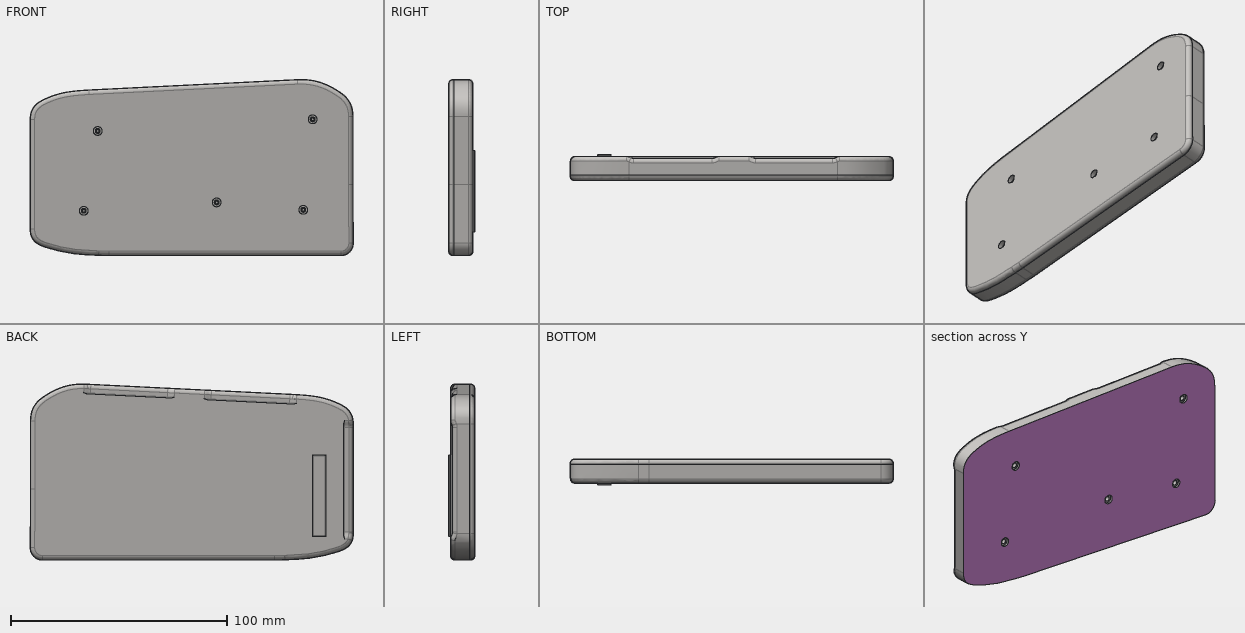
import cadquery as cq
import math

cover_thickness = 2.5
case_thickness = 11.2
overall_depth = 12.1
housing_thickness = case_thickness - cover_thickness
edge_fillet = 2.1

width = 149.4
height = 81.4
left_wall_bottom_z = 12.3
left_wall_top_z = 63.0
top_left = (27.2, 76.6)
top_right = (123.5, height)
right_wall_x = 149.3
right_wall_top_z = 64.4
right_wall_bend_z = 32.9
corner_radius = 5.8
bottom_bend_x = 36.5
bottom_left = (31.7, 0.1)

upper_left_middle = (6.9, 72.5)
upper_right_middle = (141.8, 76.5)
lower_left_middle = (8.2, 3.6)

recess_depth = 0.9
recess_ramp = 3.1
recess_reach = 4.5
recess_floor_fillet = 0.5
recess_margin = 7.5
top_recess_spans = [(26.1, 68.7), (82.6, 124.5)]
left_recess_span = (9.9, 64.5)

pad_x_range = (12.7, 19.0)
pad_z_range = (10.9, 48.7)
pad_fillet = 0.5
pad_height = overall_depth - case_thickness

screw_positions = [(31.2, 57.7), (130.6, 63.0), (24.8, 20.8), (86.2, 24.7), (126.2, 21.2)]
screw_head_diameter = 4.0
screw_shank_diameter = 2.2
screw_pilot_diameter = 1.3
screw_head_depth = 3.6
screw_shank_depth = 6.0
screw_pilot_depth = 8.2

top_run = top_right[0] - top_left[0]
top_rise = top_right[1] - top_left[1]
top_slope = top_rise / top_run
bottom_slope = bottom_left[1] / (bottom_bend_x - bottom_left[0])
top_angle = math.degrees(math.atan(top_slope))


def outline_slab(front_y, thickness):
    """Plate with the case outline, from front_y toward +Y."""
    arc_offset = corner_radius * (1 - math.sqrt(0.5))
    corner_middle = (width - arc_offset, arc_offset)
    return (
        cq.Workplane("XZ", origin=(0, front_y, 0))
        .moveTo(0, left_wall_bottom_z)
        .lineTo(0, left_wall_top_z)
        .spline([upper_left_middle, top_left], tangents=[(0, 1), (1, top_slope)], includeCurrent=True)
        .lineTo(*top_right)
        .spline(
            [upper_right_middle, (right_wall_x, right_wall_top_z)],
            tangents=[(1, top_slope), (0, -1)],
            includeCurrent=True,
        )
        .lineTo(right_wall_x, right_wall_bend_z)
        .lineTo(width, corner_radius)
        .threePointArc(corner_middle, (width - corner_radius, 0))
        .lineTo(bottom_bend_x, 0)
        .lineTo(*bottom_left)
        .spline(
            [lower_left_middle, (0, left_wall_bottom_z)],
            tangents=[(-1, bottom_slope), (0, 1)],
            includeCurrent=True,
        )
        .close()
        .extrude(-thickness)
    )


def recess_cutter(length):
    """Cutter along +X from the origin, with smooth end ramps; the wall to cut lies at Z = 0."""
    floor_y = case_thickness - recess_depth
    return (
        cq.Workplane("XY", origin=(0, 0, -recess_reach))
        .moveTo(0, case_thickness)
        .spline([(recess_ramp, floor_y)], tangents=[(1, 0), (1, 0)], includeCurrent=True)
        .lineTo(length - recess_ramp, floor_y)
        .spline([(length, case_thickness)], tangents=[(1, 0), (1, 0)], includeCurrent=True)
        .close()
        .extrude(recess_reach + recess_margin)
        .faces("<Y")
        .edges("<Z")
        .fillet(recess_floor_fillet)
    )


def top_recess(start_x, end_x):
    """Recess that follows the sloped top wall."""
    start_z = top_left[1] + (start_x - top_left[0]) * top_slope
    length = (end_x - start_x) / math.cos(math.radians(top_angle))
    return recess_cutter(length).rotate((0, 0, 0), (0, 1, 0), -top_angle).translate((start_x, 0, start_z))


def left_recess(start_z, end_z):
    """Recess along the vertical left wall."""
    return recess_cutter(end_z - start_z).rotate((0, 0, 0), (0, 1, 0), -90).translate((0, 0, start_z))


def screw_holes():
    """Stepped screw holes that open on the front face."""
    steps = [
        (screw_head_diameter, screw_head_depth),
        (screw_shank_diameter, screw_shank_depth),
        (screw_pilot_diameter, screw_pilot_depth),
    ]
    holes = cq.Workplane("XZ")
    for diameter, depth in steps:
        step = cq.Workplane("XZ").pushPoints(screw_positions).circle(diameter / 2).extrude(-depth)
        holes = holes.add(step)
    return holes.combine()


def rear_pad():
    """Raised pad on the rear face."""
    return (
        cq.Workplane("XZ", origin=(0, case_thickness, 0))
        .moveTo(pad_x_range[0], pad_z_range[0])
        .lineTo(pad_x_range[1], pad_z_range[0])
        .lineTo(pad_x_range[1], pad_z_range[1])
        .lineTo(pad_x_range[0], pad_z_range[1])
        .close()
        .extrude(-pad_height)
        .faces(">Y")
        .edges()
        .fillet(pad_fillet)
    )


def rear_rim_edges(housing):
    """Rear edges of the outer walls, which are the side faces that start at the seam with the cover."""
    middle_y = cover_thickness + housing_thickness / 2
    side_faces = housing.faces("not <Y").vals()
    walls = [face for face in side_faces if face.BoundingBox().ymin < middle_y]
    return [edge for wall in walls for edge in wall.Edges() if edge.BoundingBox().ymin > middle_y]


def make_cover():
    """Front plate with a rounded front edge."""
    cover = outline_slab(0, cover_thickness).faces("<Y").edges().fillet(edge_fillet)
    return cover.cut(screw_holes())


def make_housing():
    """Rear shell with finger recesses, a rounded rear edge, a pad and screw holes."""
    housing = outline_slab(cover_thickness, housing_thickness)
    for start_x, end_x in top_recess_spans:
        housing = housing.cut(top_recess(start_x, end_x))
    housing = housing.cut(left_recess(*left_recess_span))
    housing = housing.newObject(rear_rim_edges(housing)).fillet(edge_fillet)
    return housing.union(rear_pad()).cut(screw_holes())


cover = make_cover()
housing = make_housing()
result = cq.Compound.makeCompound([cover.val(), housing.val()])